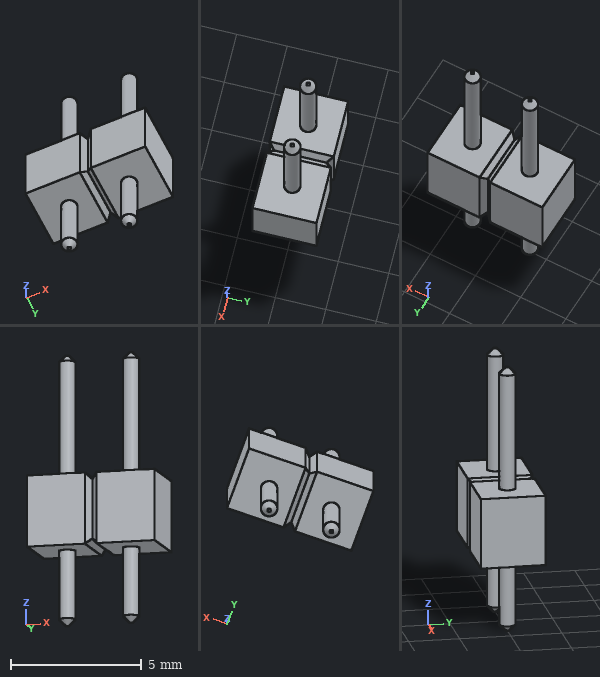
import cadquery as cq

pin_count = 2
pitch = 2.54
pin_length = 10.59
pin_diameter = 0.64
tip_height = 0.25
tip_diameter = 0.13
housing_bottom = 2.93
housing_height = 2.8
groove_depth = 0.23

pin_radius = pin_diameter / 2
tip_radius = tip_diameter / 2
pin_places = [(i - (pin_count - 1) / 2) * pitch for i in range(pin_count)]


def make_cell(x):
    """One housing cell, chamfered towards each neighbouring cell."""
    cell = cq.Workplane("XY").box(pitch, pitch, housing_height, centered=(True, True, False))
    if x > pin_places[0]:
        cell = cell.faces("<X").chamfer(groove_depth)
    if x < pin_places[-1]:
        cell = cell.faces(">X").chamfer(groove_depth)
    return cell.translate((x, 0, housing_bottom))


def make_housing():
    """Row of joined cells with a through hole for every pin."""
    housing = make_cell(pin_places[0])
    for x in pin_places[1:]:
        housing = housing.union(make_cell(x))
    holes = (
        cq.Workplane("XY")
        .workplane(offset=housing_bottom)
        .pushPoints([(x, 0) for x in pin_places])
        .circle(pin_radius)
        .extrude(housing_height)
    )
    return housing.cut(holes)


def make_pin(x):
    """Round pin with a blunt cone at both ends, standing on Z = 0."""
    half_profile = [
        (0, 0),
        (tip_radius, 0),
        (pin_radius, tip_height),
        (pin_radius, pin_length - tip_height),
        (tip_radius, pin_length),
        (0, pin_length),
    ]
    pin = cq.Workplane("XZ").polyline(half_profile).close().revolve(360, (0, 0, 0), (0, 1, 0))
    return pin.translate((x, 0, 0))


housing = make_housing()
pins = [make_pin(x) for x in pin_places]

result = cq.Compound.makeCompound([housing.val(), *[pin.val() for pin in pins]])